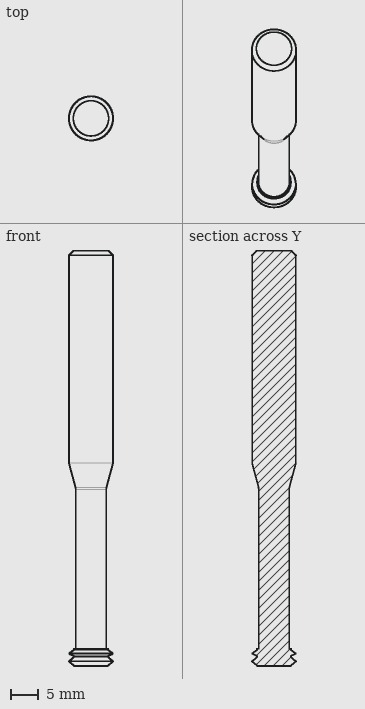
import cadquery as cq

total_length = 75.0
shank_diameter = 8.0
top_chamfer = 0.8

neck_diameter = 5.55
taper_top_z = 36.7
taper_bottom_z = 32.1
taper_blend_radius = 1.1

tip_diameter = 6.0
root_diameter = 6.15
lower_ridge_diameter = 8.0
upper_ridge_diameter = 7.9
lower_ridge_z = 0.8
root_z = 1.65
root_width = 0.15
upper_ridge_z = 2.2
upper_ridge_land = 0.15
collar_z = 2.9
collar_top_z = 3.15

profile = [
    (tip_diameter, 0),
    (lower_ridge_diameter, lower_ridge_z),
    (root_diameter, root_z),
    (root_diameter, root_z + root_width),
    (upper_ridge_diameter, upper_ridge_z),
    (upper_ridge_diameter, upper_ridge_z + upper_ridge_land),
    (root_diameter, collar_z),
    (root_diameter, collar_top_z),
    (neck_diameter, collar_top_z),
    (neck_diameter, taper_bottom_z),
    (shank_diameter, taper_top_z),
    (shank_diameter, total_length - top_chamfer),
    (shank_diameter - 2 * top_chamfer, total_length),
]

half_section = cq.Workplane("XZ").moveTo(0, 0)
for diameter, height in profile:
    half_section = half_section.lineTo(diameter / 2, height)
half_section = half_section.lineTo(0, total_length).close()

body = half_section.revolve(360, (0, 0, 0), (0, 1, 0))

taper_corner = cq.selectors.BoxSelector(
    (-neck_diameter, -neck_diameter, taper_bottom_z - taper_blend_radius),
    (neck_diameter, neck_diameter, taper_bottom_z + taper_blend_radius),
    boundingbox=True,
)
result = body.edges(taper_corner).fillet(taper_blend_radius)